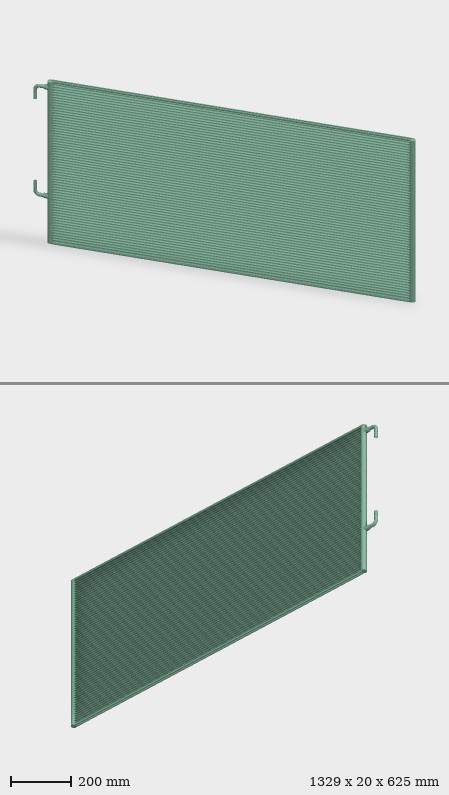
import cadquery as cq

overall_length = 1329.0
overall_height = 625.0

header_diameter = 20.0
header_height = 620.0
right_header_x = overall_length / 2 - header_diameter / 2
left_header_x = -605.0

tube_count = 63
tube_span = 607.0
tube_pitch = tube_span / (tube_count - 1)
tube_thickness = 1.6
tube_width = 16.0

channel_width = 13.0
channel_wall = 4.0
channel_bend_radius = 5.0
channel_inset = 7.0

baffle_z = 112.0
baffle_thickness = 3.2
baffle_recess = 0.7

pipe_diameter = 12.8
pipe_bore = 10.0
pipe_groove_diameter = 11.3
pipe_groove_length = 4.0
pipe_groove_offset = 19.0
bend_radius = 16.0
pipe_drop = 50.0
upper_pipe_z = 285.0
lower_pipe_z = -133.0
pipe_x = -overall_length / 2 + pipe_diameter / 2

collar_diameter = 17.0
collar_start_x = -627.0
flange_diameter = 19.0
flange_start_x = -620.0


def make_header(x):
    return cq.Workplane("XY").center(x, 0).circle(header_diameter / 2).extrude(header_height / 2, both=True)


def make_baffle_groove():
    ring = (
        cq.Workplane("XY", origin=(left_header_x, 0, baffle_z))
        .circle(header_diameter)
        .circle(header_diameter / 2 - baffle_recess)
        .extrude(baffle_thickness / 2, both=True)
    )
    box_size = 2 * header_diameter
    outer_half = cq.Workplane("XY").box(box_size, box_size, box_size)
    outer_half = outer_half.translate((left_header_x - box_size / 2, 0, baffle_z))
    return ring.intersect(outer_half)


def make_tube(z):
    length = right_header_x - left_header_x
    middle = (right_header_x + left_header_x) / 2
    return cq.Workplane("XY").box(length, tube_width, tube_thickness).translate((middle, 0, z))


def make_channel():
    start = left_header_x + channel_inset
    length = right_header_x - channel_inset - start
    top_tube_z = tube_span / 2
    channel_height = overall_height / 2 - top_tube_z
    base = cq.Workplane("XY", origin=(start + length / 2, 0, top_tube_z))
    channel = base.rect(length, channel_width).extrude(channel_height)
    channel = channel.edges("|X and <Z").fillet(channel_bend_radius)
    groove = base.workplane(offset=channel_wall)
    return channel.cut(groove.rect(length, channel_width - 2 * channel_wall).extrude(channel_height))


def sweep_elbow(z, turn, diameter):
    path = (
        cq.Workplane("XZ")
        .moveTo(pipe_x, z + turn * pipe_drop)
        .lineTo(pipe_x, z + turn * bend_radius)
        .tangentArcPoint((pipe_x + bend_radius, z), relative=False)
        .lineTo(flange_start_x, z)
    )
    return cq.Workplane("XY", origin=(pipe_x, 0, z + turn * pipe_drop)).circle(diameter / 2).sweep(path)


def make_fitting_step(z, start_x, diameter):
    return cq.Workplane("YZ", origin=(start_x, 0, z)).circle(diameter / 2).extrude(left_header_x - start_x)


def make_elbow(z, turn):
    elbow = sweep_elbow(z, turn, pipe_diameter)
    groove_z = z + turn * (pipe_drop - pipe_groove_offset)
    groove = (
        cq.Workplane("XY", origin=(pipe_x, 0, groove_z))
        .circle(pipe_diameter)
        .circle(pipe_groove_diameter / 2)
        .extrude(pipe_groove_length / 2, both=True)
    )
    collar = make_fitting_step(z, collar_start_x, collar_diameter)
    flange = make_fitting_step(z, flange_start_x, flange_diameter)
    return elbow.cut(groove).union(collar).union(flange).cut(sweep_elbow(z, turn, pipe_bore))


result = make_header(left_header_x).union(make_header(right_header_x))
result = result.cut(make_baffle_groove())
for i in range(tube_count):
    result = result.union(make_tube(i * tube_pitch - tube_span / 2), clean=False)
top_channel = make_channel()
result = result.union(top_channel).union(top_channel.mirror("XY"))
result = result.union(make_elbow(upper_pipe_z, -1)).union(make_elbow(lower_pipe_z, 1))